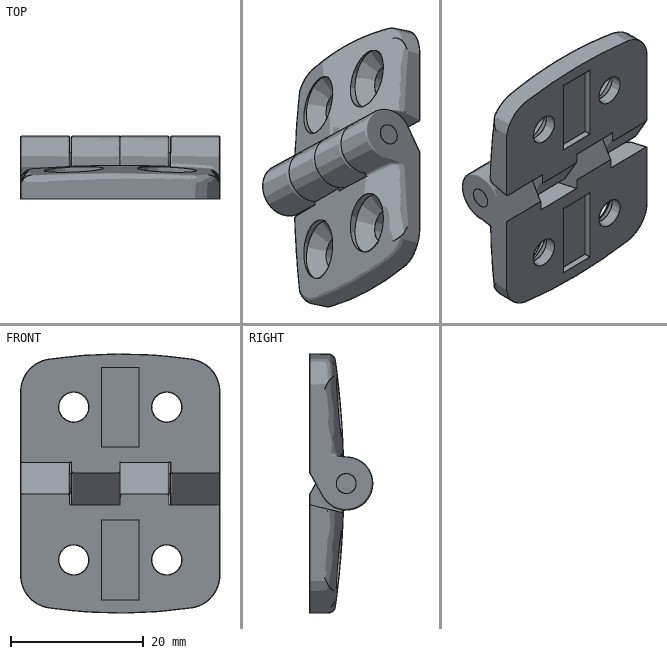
import cadquery as cq
import math

width = 30.0
half_width = width / 2
leaf_reach = 19.5
end_radius = 75.0
corner_radius = 5.0

axis_y = 5.5
barrel_radius = 4.0
pin_radius = 1.5
knuckle_gap = 0.25
middle_knuckle = 7.35
outer_start = middle_knuckle + knuckle_gap
knuckle_round = 0.25
arm_toe_z = 1.6
web_radius = 6.0
arm_root_z = 5.5

crown_height = 5.15
crown_long_radius = 135.0
crown_cross_radius = 170.0
rim_round = 1.1
side_round = 1.9

slot_face_z = 3.2
slot_lean = 13.5
slot_round = 0.25
slot_crown_round = 0.2
seam_fillet = 0.5

hole_x = 7.0
hole_z = 11.5
hole_diameter = 4.5
sink_start_y = 1.7
sink_angle = 90.0
sink_diameter = 8.8

pocket_width = 5.6
pocket_length = 12.0
pocket_depth = 1.0


def leaf_blank():
    """Lower leaf outline, bowed at the far end, extruded past the crown."""
    bow_centre_z = end_radius - leaf_reach
    corner_x = half_width - corner_radius
    corner_z = bow_centre_z - math.sqrt((end_radius - corner_radius) ** 2 - corner_x ** 2)
    lean = math.atan2(corner_x, bow_centre_z - corner_z)
    end_x = end_radius * math.sin(lean)
    end_z = bow_centre_z - end_radius * math.cos(lean)
    mid_angle = (math.pi / 2 - lean) / 2
    mid_x = corner_x + corner_radius * math.cos(mid_angle)
    mid_z = corner_z - corner_radius * math.sin(mid_angle)
    return (
        cq.Workplane("XZ")
        .moveTo(half_width, -slot_face_z)
        .lineTo(half_width, corner_z)
        .threePointArc((mid_x, mid_z), (end_x, end_z))
        .threePointArc((0, -leaf_reach), (-end_x, end_z))
        .threePointArc((-mid_x, mid_z), (-half_width, corner_z))
        .lineTo(-half_width, -slot_face_z)
        .close()
        .extrude(-2 * crown_height)
    )


def side_strip():
    """Rectangular block of full leaf width that overruns the bowed end."""
    length = leaf_reach + corner_radius
    return (
        cq.Workplane("XY", origin=(0, 0, -slot_face_z - length))
        .box(width, 2 * crown_height, length, centered=(True, False, False))
    )


def crown_envelope():
    """Everything under the crown: a cross arc revolved about a distant axis along X."""
    reach_x = half_width + corner_radius
    drop = crown_cross_radius - math.sqrt(crown_cross_radius ** 2 - reach_x ** 2)
    axis_below = crown_height - crown_long_radius
    return (
        cq.Workplane("XY")
        .moveTo(-reach_x, axis_below)
        .lineTo(-reach_x, crown_height - drop)
        .threePointArc((0, crown_height), (reach_x, crown_height - drop))
        .lineTo(reach_x, axis_below)
        .close()
        .revolve(360, (-1, axis_below, 0), (1, axis_below, 0))
    )


def crowned_plate():
    """Leaf plate with a small rounding around its rim and a larger one along its straight sides."""
    crown = crown_envelope()
    plate = leaf_blank().intersect(crown)
    rim_edges = plate.faces(">Y").edges("not(>Z)")
    plate = rim_edges.fillet(rim_round)
    strip = side_strip().intersect(crown)
    strip = strip.faces(">Y").edges("<X or >X").fillet(side_round)
    return plate.intersect(strip)


def knuckle_slot(start_x, end_x):
    """Clearance for a knuckle of the other leaf, with a wall that leans away from the axis."""
    top_y = 2 * crown_height
    top_z = slot_face_z + top_y * math.tan(math.radians(slot_lean))
    return (
        cq.Workplane("YZ", origin=(start_x, 0, 0))
        .polyline([(0, 0), (0, -slot_face_z), (top_y, -top_z), (top_y, 0)])
        .close()
        .extrude(end_x - start_x)
    )


def slotted_block():
    """Full-width block with both knuckle slots, the outer one rounded where it reaches the side."""
    block = side_strip()
    block = block.cut(knuckle_slot(-outer_start, 0))
    block = block.cut(knuckle_slot(middle_knuckle, half_width))
    return block.faces(">X").edges(">Z").fillet(slot_round)


def knuckle(start_x, end_x):
    """Barrel with its arm: tangent to the barrel on the open side, blended on the leaf side."""
    toe_distance = math.hypot(axis_y, arm_toe_z)
    toe_angle = math.atan2(arm_toe_z, axis_y) + math.asin(barrel_radius / toe_distance)
    tangent_length = math.sqrt(toe_distance ** 2 - barrel_radius ** 2)
    tangent_y = tangent_length * math.cos(toe_angle)
    tangent_z = tangent_length * math.sin(toe_angle) - arm_toe_z
    web_sweep = math.acos(1 - (arm_root_z - barrel_radius) / web_radius)

    def web_point(angle):
        return (
            axis_y - web_radius * math.sin(angle),
            -barrel_radius - web_radius * (1 - math.cos(angle)),
        )

    body = (
        cq.Workplane("YZ", origin=(start_x, 0, 0))
        .moveTo(0, -arm_toe_z)
        .lineTo(tangent_y, tangent_z)
        .threePointArc((axis_y + barrel_radius, 0), (axis_y, -barrel_radius))
        .threePointArc(web_point(web_sweep / 2), web_point(web_sweep))
        .lineTo(0, -arm_root_z)
        .close()
        .extrude(end_x - start_x)
    )
    rims = body.faces("<X or >X").edges("not(<Y or <Z)")
    return rims.fillet(knuckle_round)


def screw_holes():
    """Two countersunk screw holes, their heads sunk below the crown."""
    hole_radius = hole_diameter / 2
    sink_radius = sink_diameter / 2
    sink_end_y = sink_start_y + (sink_radius - hole_radius) / math.tan(math.radians(sink_angle / 2))
    holes = cq.Workplane("XY")
    for x in (-hole_x, hole_x):
        hole = (
            cq.Workplane("XY")
            .polyline([
                (0, 0),
                (hole_radius, 0),
                (hole_radius, sink_start_y),
                (sink_radius, sink_end_y),
                (sink_radius, crown_height),
                (0, crown_height),
            ])
            .close()
            .revolve(360, (0, 0), (0, 1))
            .translate((x, 0, -hole_z))
        )
        holes = holes.add(hole)
    return holes.combine()


def face_pocket():
    """Shallow rectangular pocket in the mounting face."""
    pocket = cq.Workplane("XY").box(pocket_width, 2 * pocket_depth, pocket_length)
    return pocket.translate((0, 0, -hole_z))


def pin_cylinder():
    """Hinge pin, as long as the hinge is wide."""
    return cq.Workplane("YZ", origin=(-half_width, axis_y, 0)).circle(pin_radius).extrude(width)


def seam_edges(start_x, end_x, near_z):
    """Selector for the crown edges next to the hinge axis, from start_x to end_x, beyond near_z."""
    far_z = -(slot_face_z + crown_height * math.tan(math.radians(slot_lean)))
    return cq.selectors.BoxSelector((start_x, 0, far_z), (end_x, crown_height, near_z))


def build_leaf():
    """Lower leaf: plate, two slots and two knuckles, bored for the pin."""
    leaf = crowned_plate().intersect(slotted_block())
    slot_rim = leaf.edges("%BSPLINE").edges(seam_edges(middle_knuckle, half_width, -slot_face_z))
    leaf = slot_rim.fillet(slot_crown_round)
    leaf = leaf.union(knuckle(-half_width, -outer_start))
    knuckle_seam = leaf.edges("%BSPLINE").edges(seam_edges(-half_width, -outer_start, -barrel_radius))
    leaf = knuckle_seam.fillet(seam_fillet)
    leaf = leaf.union(knuckle(0, middle_knuckle))
    leaf = leaf.cut(screw_holes())
    leaf = leaf.cut(face_pocket())
    return leaf.cut(pin_cylinder())


leaves = [build_leaf().rotate((0, 0, 0), (0, 1, 0), turn) for turn in (0, 180)]
pin = pin_cylinder()

result = cq.Compound.makeCompound([*[leaf.solids().val() for leaf in leaves], pin.val()])